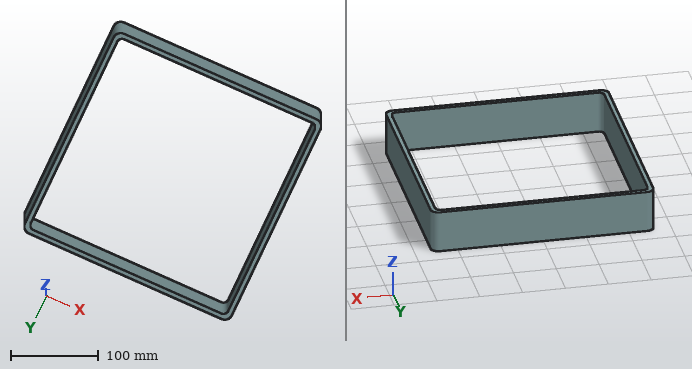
import cadquery as cq

outer_side = 260.0
height = 50.0
wall_thickness = 6.0
outer_corner_radius = 9.0
inner_corner_radius = 6.0

inner_side = outer_side - 2 * wall_thickness


def rounded_square_prism(side, corner_radius):
    """Square prism standing on Z = 0 with its four upright edges rounded."""
    prism = cq.Workplane("XY").rect(side, side).extrude(height)
    return prism.edges("|Z").fillet(corner_radius)


outer_body = rounded_square_prism(outer_side, outer_corner_radius)
opening = rounded_square_prism(inner_side, inner_corner_radius)
result = outer_body.cut(opening)